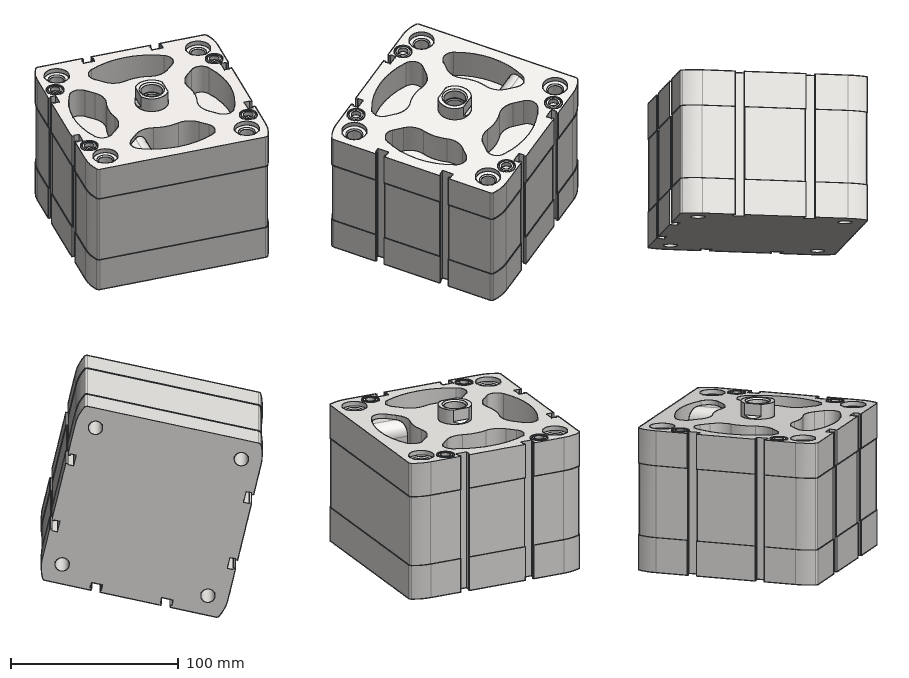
import cadquery as cq
import math

half_width = 56.8
housing_height = 86.9
cover_height = 21.5
tube_inset = 0.5
tube_height = housing_height - 2 * cover_height

corner_arc_x = 44.2
corner_arc_y = 31.8
corner_fillet = 2.0

slot_inner = 18.6
slot_outer = 24.0
undercut_inner = 18.0
undercut_outer = 25.0
slot_lip = 1.5
slot_depth = 4.9
lip_chamfer = 0.5

pocket_inner_radius = 27.0
pocket_outer_radius = 49.5
rib_half_width = 6.5
pocket_outer_fillet = 6.5
pocket_inner_fillet = 12.0
pocket_depth = 18.7

boss_radius = 8.3
boss_axis_y = -20.3
boss_top_drop = 2.8

mount_offset = 44.5
mount_bore = 8.5
mount_chamfer_diameter = 10.1
mount_counterbore = 15.0
mount_counterbore_depth = 2.8

screw_x = 31.1
screw_y = 50.0
screw_recess_diameter = 10.7
screw_head_diameter = 10.1
screw_head_top_diameter = 8.4
screw_recess_depth = 5.7
socket_diameter = 5.8
socket_depth = 2.8

rod_diameter = 20.0
rod_projection = 9.1
rod_seat_depth = cover_height
flat_half_width = 8.5
flat_length = 7.3
rod_mouth_diameter = 15.0
rod_relief_diameter = 13.0
rod_relief_depth = 6.4
thread_mouth_diameter = 12.0
thread_diameter = 10.7
thread_depth = 20.4
drill_half_angle = math.radians(59)

overshoot = 1.1
rod_top = housing_height + rod_projection


def side_block(inset, height):
    """Square block with the four arched corners, its sides moved in by inset."""
    half = half_width - inset
    arc_radius = half - corner_arc_y
    edge_y = corner_arc_y + math.sqrt(arc_radius**2 - (half - corner_arc_x) ** 2)
    middle_angle = (math.pi / 2 + math.atan2(edge_y - corner_arc_y, half - corner_arc_x)) / 2
    middle_x = corner_arc_x + arc_radius * math.cos(middle_angle)
    middle_y = corner_arc_y + arc_radius * math.sin(middle_angle)
    block = (
        cq.Workplane("XY")
        .moveTo(-corner_arc_x, half)
        .lineTo(corner_arc_x, half)
        .threePointArc((middle_x, middle_y), (half, edge_y))
        .lineTo(half, -edge_y)
        .threePointArc((middle_x, -middle_y), (corner_arc_x, -half))
        .lineTo(-corner_arc_x, -half)
        .threePointArc((-middle_x, -middle_y), (-half, -edge_y))
        .lineTo(-half, edge_y)
        .threePointArc((-middle_x, middle_y), (-corner_arc_x, half))
        .close()
        .extrude(height)
    )
    return block.edges("|Z and (>X or <X)").fillet(corner_fillet - inset)


def slot_cutter(inset, height, inner_chamfer):
    """T-slot on the +Y side at positive X, for a side face moved in by inset."""
    face = half_width - inset
    outside = half_width + overshoot
    lip_bottom = half_width - slot_lip
    return (
        cq.Workplane("XY")
        .polyline(
            [
                (slot_inner - inner_chamfer, outside),
                (slot_inner - inner_chamfer, face),
                (slot_inner, face - lip_chamfer),
                (slot_inner, lip_bottom),
                (undercut_inner, lip_bottom),
                (undercut_inner, half_width - slot_depth),
                (undercut_outer, half_width - slot_depth),
                (undercut_outer, lip_bottom),
                (slot_outer, lip_bottom),
                (slot_outer, face - lip_chamfer),
                (slot_outer + lip_chamfer, face),
                (slot_outer + lip_chamfer, outside),
            ]
        )
        .close()
        .extrude(height)
    )


def slotted_section(inset, height, inner_chamfer):
    """One housing section with two slots on the +Y, -X and -Y sides."""
    section = side_block(inset, height)
    cutter = slot_cutter(inset, height, inner_chamfer)
    for slot in (cutter, cutter.mirror("YZ")):
        for angle in (0, 90, 180):
            section = section.cut(slot.rotate((0, 0, 0), (0, 0, 1), angle))
    return section


def pocket_cutter():
    """Kidney pocket on the +Y side of the top face."""
    wedge_tip = rib_half_width * math.sqrt(2)
    wedge_reach = pocket_outer_radius
    floor = housing_height - pocket_depth
    height = pocket_depth + overshoot
    wedge = (
        cq.Workplane("XY", origin=(0, 0, floor))
        .polyline([(0, wedge_tip), (wedge_reach, wedge_tip + wedge_reach), (-wedge_reach, wedge_tip + wedge_reach)])
        .close()
        .extrude(height)
    )
    ring = (
        cq.Workplane("XY", origin=(0, 0, floor))
        .circle(pocket_outer_radius)
        .circle(pocket_inner_radius)
        .extrude(height)
    )
    pocket = ring.intersect(wedge)
    pocket = pocket.edges("|Z").edges(">Y").fillet(pocket_outer_fillet)
    return pocket.edges("|Z").edges("<Y").fillet(pocket_inner_fillet)


def port_boss():
    """Boss across the +X pocket: flat top with a round edge toward the pocket middle."""
    top = housing_height - boss_top_drop
    floor = housing_height - pocket_depth
    side = boss_axis_y + boss_radius
    return (
        cq.Workplane("YZ")
        .moveTo(-half_width, floor)
        .lineTo(side, floor)
        .lineTo(side, top - boss_radius)
        .radiusArc((boss_axis_y, top), -boss_radius)
        .lineTo(-half_width, top)
        .close()
        .extrude(half_width)
    )


def mount_cutter():
    """Through hole with a chamfered mouth under a shallow counterbore."""
    top = housing_height
    seat = top - mount_counterbore_depth
    chamfer = (mount_chamfer_diameter - mount_bore) / 2
    return (
        cq.Workplane("XZ")
        .polyline(
            [
                (0, -overshoot),
                (mount_bore / 2, -overshoot),
                (mount_bore / 2, seat - chamfer),
                (mount_chamfer_diameter / 2, seat),
                (mount_counterbore / 2, seat),
                (mount_counterbore / 2, top + overshoot),
                (0, top + overshoot),
            ]
        )
        .close()
        .revolve(360, (0, 0), (0, 1))
    )


def screw_groove_cutter():
    """Ring gap between a screw head with a chamfered rim and its recess."""
    top = housing_height
    chamfer = (screw_head_diameter - screw_head_top_diameter) / 2
    return (
        cq.Workplane("XZ")
        .polyline(
            [
                (screw_head_top_diameter / 2, top),
                (screw_head_diameter / 2, top - chamfer),
                (screw_head_diameter / 2, top - screw_recess_depth),
                (screw_recess_diameter / 2, top - screw_recess_depth),
                (screw_recess_diameter / 2, top),
            ]
        )
        .close()
        .revolve(360, (0, 0), (0, 1))
    )


def drilled_hole(diameter, top, depth):
    """Blind hole from z = top with a drill-point bottom below its full depth."""
    radius = diameter / 2
    bottom = top - depth
    return (
        cq.Workplane("XZ")
        .polyline(
            [
                (0, top),
                (radius, top),
                (radius, bottom),
                (0, bottom - radius / math.tan(drill_half_angle)),
            ]
        )
        .close()
        .revolve(360, (0, 0), (0, 1))
    )


def make_housing():
    cover = slotted_section(0, cover_height, 0)
    tube = slotted_section(tube_inset, tube_height, lip_chamfer)
    housing = (
        cover.union(tube.translate((0, 0, cover_height)))
        .union(cover.translate((0, 0, cover_height + tube_height)))
    )

    pocket = pocket_cutter()
    for angle in (0, 90, 180):
        housing = housing.cut(pocket.rotate((0, 0, 0), (0, 0, 1), angle))
    housing = housing.cut(pocket.rotate((0, 0, 0), (0, 0, 1), -90).cut(port_boss()))

    mount = mount_cutter()
    groove = screw_groove_cutter()
    socket = drilled_hole(socket_diameter, housing_height, socket_depth)
    for x_side in (-1, 1):
        for y_side in (-1, 1):
            housing = housing.cut(mount.translate((x_side * mount_offset, y_side * mount_offset, 0)))
            screw_place = (x_side * screw_x, y_side * screw_y, 0)
            housing = housing.cut(groove.translate(screw_place))
            housing = housing.cut(socket.translate(screw_place))

    rod_seat = (
        cq.Workplane("XY", origin=(0, 0, housing_height - rod_seat_depth))
        .circle(rod_diameter / 2)
        .extrude(rod_seat_depth)
    )
    return housing.cut(rod_seat)


def flat_cutter():
    """Wrench flat on the +Y side, ending in a 45 degree run-out."""
    flat_bottom = rod_top - flat_length
    reach = rod_diameter / 2
    return (
        cq.Workplane("YZ")
        .polyline(
            [
                (flat_half_width, rod_top),
                (flat_half_width, flat_bottom),
                (reach, flat_bottom - (reach - flat_half_width)),
                (reach, rod_top),
            ]
        )
        .close()
        .extrude(rod_diameter / 2, both=True)
    )


def rod_bore_cutter():
    """Chamfered relief leading to a drilled thread hole."""
    mouth_chamfer = (rod_mouth_diameter - rod_relief_diameter) / 2
    thread_chamfer = (thread_mouth_diameter - thread_diameter) / 2
    relief_bottom = rod_top - rod_relief_depth
    mouth = (
        cq.Workplane("XZ")
        .polyline(
            [
                (0, rod_top),
                (rod_mouth_diameter / 2, rod_top),
                (rod_relief_diameter / 2, rod_top - mouth_chamfer),
                (rod_relief_diameter / 2, relief_bottom),
                (thread_mouth_diameter / 2, relief_bottom),
                (thread_diameter / 2, relief_bottom - thread_chamfer),
                (0, relief_bottom - thread_chamfer),
            ]
        )
        .close()
        .revolve(360, (0, 0), (0, 1))
    )
    return mouth.union(drilled_hole(thread_diameter, rod_top, thread_depth))


def make_piston_rod():
    rod = (
        cq.Workplane("XY", origin=(0, 0, housing_height - rod_seat_depth))
        .circle(rod_diameter / 2)
        .extrude(rod_seat_depth + rod_projection)
    )
    flat = flat_cutter()
    return rod.cut(flat).cut(flat.mirror("XZ")).cut(rod_bore_cutter())


housing = make_housing()
piston_rod = make_piston_rod()

result = cq.Compound.makeCompound([housing.val(), piston_rod.val()])